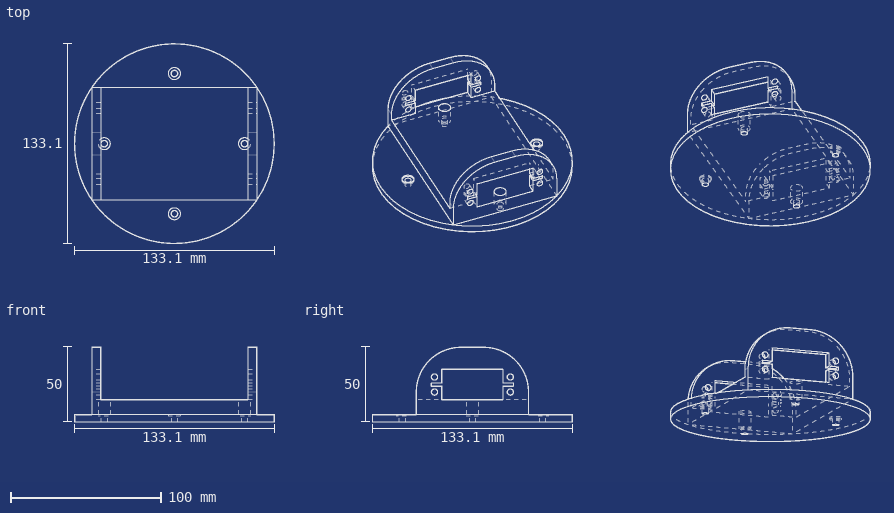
import cadquery as cq

plate_diameter = 133.12
plate_thickness = 5.0

cradle_length = 110.0
cradle_width = 75.0
floor_thickness = 10.0
wall_thickness = 6.0
wall_corner_radius = 30.0
total_height = 50.0
floor_top = plate_thickness + floor_thickness

window_width = 40.5
window_height = 20.2
window_center_z = floor_top + window_height / 2
slot_height = 2.0
servo_hole_diameter = 4.0
servo_hole_spacing_y = 50.5
servo_hole_spacing_z = 10.0
slot_width = servo_hole_spacing_y + servo_hole_diameter

mount_hole_diameter = 4.2
mount_head_diameter = 8.0
mount_hole_radius = 46.7
mount_hole_count = 4
mount_seat_height = 4.0


def make_plate():
    return cq.Workplane("XY").circle(plate_diameter / 2).extrude(plate_thickness)


def make_cradle():
    """Block with rounded upper corners, hollowed between the two end walls."""
    height = total_height - plate_thickness
    block = (
        cq.Workplane("XY", origin=(0, 0, plate_thickness))
        .box(cradle_length, cradle_width, height, centered=(True, True, False))
        .edges("|X and >Z")
        .fillet(wall_corner_radius)
    )
    hollow = cq.Workplane("XY", origin=(0, 0, floor_top)).box(
        cradle_length - 2 * wall_thickness,
        cradle_width,
        total_height - floor_top,
        centered=(True, True, False),
    )
    return block.cut(hollow)


def make_servo_cutter():
    """Window, side slots and screw holes running along X through both walls."""
    sketch_plane = cq.Workplane("YZ", origin=(-cradle_length / 2, 0, window_center_z))
    window = sketch_plane.rect(window_width, window_height).extrude(cradle_length)
    slot = sketch_plane.rect(slot_width, slot_height).extrude(cradle_length)
    holes = (
        sketch_plane.rect(servo_hole_spacing_y, servo_hole_spacing_z, forConstruction=True)
        .vertices()
        .circle(servo_hole_diameter / 2)
        .extrude(cradle_length)
    )
    return window.union(slot).union(holes)


def make_mount_cutter():
    """Screw holes with head recesses that open upward through plate and cradle floor."""
    holes = (
        cq.Workplane("XY")
        .polarArray(mount_hole_radius, 0, 360, mount_hole_count)
        .circle(mount_hole_diameter / 2)
        .extrude(floor_top)
    )
    heads = (
        cq.Workplane("XY", origin=(0, 0, mount_seat_height))
        .polarArray(mount_hole_radius, 0, 360, mount_hole_count)
        .circle(mount_head_diameter / 2)
        .extrude(floor_top - mount_seat_height)
    )
    return holes.union(heads)


body = make_plate().union(make_cradle())
result = body.cut(make_servo_cutter()).cut(make_mount_cutter())